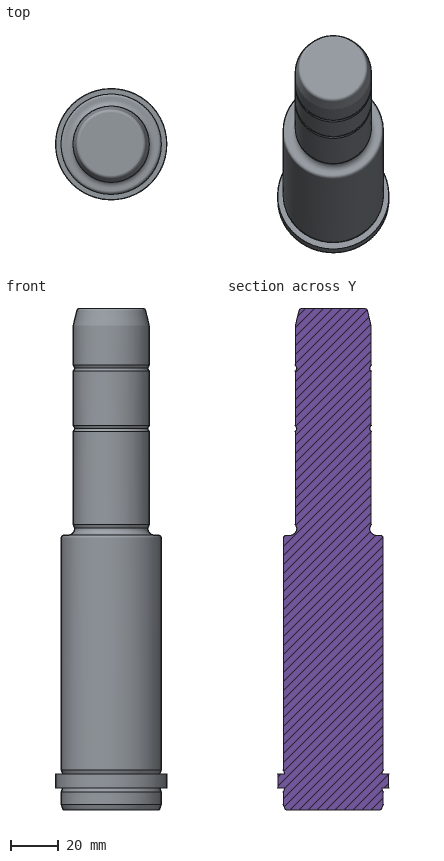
import cadquery as cq

total_height = 210.0
body_radius = 21.0
neck_radius = 16.0
flange_radius = 23.3

base_taper_height = 2.3
base_taper_depth = 0.6
base_rounding_width = 0.8
base_rounding_height = 0.6
flange_bottom = 9.2
flange_thickness = 5.9
flange_top = flange_bottom + flange_thickness
relief_depth = 0.6
relief_height = 1.7

shoulder_height = 115.0
shoulder_rounding = 1.3
undercut_top = 119.5
undercut_depth = 0.6
undercut_floor = 118.0
undercut_foot_radius = 18.3

groove_centers = (159.8, 185.0)
groove_width = 2.5
groove_depth = 0.6
arc_bulge = 0.7

tip_taper_start = 202.6
tip_taper_radius = 14.5
tip_flat_radius = 13.0
tip_rounding_height = 1.0


def add_groove(profile, center):
    """Run up the neck to a shallow groove and across it: a round lower flank, then a cone."""
    profile = profile.lineTo(neck_radius, center - groove_width / 2)
    profile = profile.threePointArc(
        (neck_radius - groove_depth * arc_bulge, center - groove_width / 4),
        (neck_radius - groove_depth, center),
    )
    return profile.lineTo(neck_radius, center + groove_width / 2)


base_edge_radius = body_radius - base_taper_depth
relief_radius = body_radius - relief_depth
undercut_radius = neck_radius - undercut_depth
shoulder_flat_radius = body_radius - shoulder_rounding

profile = (
    cq.Workplane("XZ")
    .lineTo(base_edge_radius - base_rounding_width, 0)
    .tangentArcPoint((base_edge_radius, base_rounding_height), relative=False)
    .lineTo(body_radius, base_taper_height)
    .lineTo(body_radius, flange_bottom - relief_height)
    .lineTo(relief_radius, flange_bottom)
    .lineTo(flange_radius, flange_bottom)
    .lineTo(flange_radius, flange_top)
    .lineTo(relief_radius, flange_top)
    .lineTo(body_radius, flange_top + relief_height)
    .lineTo(body_radius, shoulder_height - shoulder_rounding)
    .tangentArcPoint((shoulder_flat_radius, shoulder_height), relative=False)
    .lineTo(undercut_foot_radius, shoulder_height)
    .tangentArcPoint((undercut_radius, undercut_floor), relative=False)
    .lineTo(neck_radius, undercut_top)
)
for groove_center in groove_centers:
    profile = add_groove(profile, groove_center)
profile = (
    profile.lineTo(neck_radius, tip_taper_start)
    .lineTo(tip_taper_radius, total_height - tip_rounding_height)
    .tangentArcPoint((tip_flat_radius, total_height), relative=False)
    .lineTo(0, total_height)
    .close()
)

result = profile.revolve(360, (0, 0, 0), (0, 1, 0))